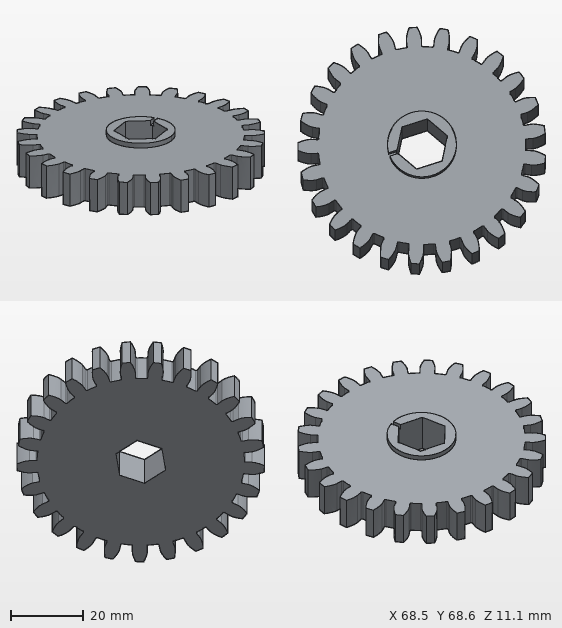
import cadquery as cq
import math

tooth_count = 25
pressure_angle = 14.5
tip_radius = 34.3
root_radius = 28.65
root_fillet = 0.35
gear_thickness = 9.65
flank_segments = 4

hub_diameter = 19.05
hub_height = 1.45
hex_across_flats = 12.8
slot_width = 1.0

pitch_radius = tip_radius * tooth_count / (tooth_count + 2)
base_radius = pitch_radius * math.cos(math.radians(pressure_angle))
tooth_pitch_angle = 360 / tooth_count
total_height = gear_thickness + hub_height
hex_across_corners = hex_across_flats / math.cos(math.pi / 6)


def polar_point(radius, angle):
    """Point at a radius and an angle in degrees."""
    angle_radians = math.radians(angle)
    return (radius * math.cos(angle_radians), radius * math.sin(angle_radians))


def involute_angle(radius):
    """Angle in degrees that the involute has turned from the base circle out to a radius."""
    local_pressure_angle = math.acos(min(1.0, base_radius / radius))
    return math.degrees(math.tan(local_pressure_angle) - local_pressure_angle)


base_half_angle = tooth_pitch_angle / 4 + involute_angle(pitch_radius)
tip_half_angle = base_half_angle - involute_angle(tip_radius)


def involute_points(centre, side):
    """Points from base circle to tip on one flank; side is -1 or +1 in the angular direction."""
    points = []
    for step in range(flank_segments + 1):
        radius = base_radius + (tip_radius - base_radius) * step / flank_segments
        flank_angle = base_half_angle - involute_angle(radius)
        points.append(polar_point(radius, centre + side * flank_angle))
    return points


def is_root_corner(edge):
    """True for an upright edge where a flank meets the root circle."""
    middle = edge.Center()
    return math.isclose(math.hypot(middle.x, middle.y), root_radius, abs_tol=0.01)


def toothed_disc():
    """Spur gear disc with one tooth centred on +X and filleted tooth roots."""
    outline = cq.Workplane("XY").moveTo(*polar_point(root_radius, -base_half_angle))
    for tooth in range(tooth_count):
        centre = tooth * tooth_pitch_angle
        rising_flank = involute_points(centre, -1)
        falling_flank = involute_points(centre, 1)[::-1]
        outline = outline.lineTo(*rising_flank[0])
        outline = outline.spline(rising_flank[1:], includeCurrent=True)
        outline = outline.threePointArc(
            polar_point(tip_radius, centre),
            polar_point(tip_radius, centre + tip_half_angle),
        )
        outline = outline.spline(falling_flank[1:], includeCurrent=True)
        outline = outline.lineTo(*polar_point(root_radius, centre + base_half_angle))
        outline = outline.threePointArc(
            polar_point(root_radius, centre + tooth_pitch_angle / 2),
            polar_point(root_radius, centre + tooth_pitch_angle - base_half_angle),
        )
    disc = outline.close().extrude(gear_thickness)
    return disc.edges("|Z").filter(is_root_corner).fillet(root_fillet)


def hub():
    """Low round hub standing on the top face."""
    return (
        cq.Workplane("XY")
        .workplane(offset=gear_thickness)
        .circle(hub_diameter / 2)
        .extrude(hub_height)
    )


def hex_bore():
    """Through bore with two of its corners on the Y axis."""
    return (
        cq.Workplane("XY")
        .polygon(6, hex_across_corners)
        .extrude(total_height)
        .rotate((0, 0, 0), (0, 0, 1), 30)
    )


def hub_slot():
    """Slot through the hub wall from the +Y bore corner, as deep as the hub."""
    return (
        cq.Workplane("XY")
        .workplane(offset=gear_thickness)
        .center(0, hub_diameter / 4)
        .rect(slot_width, hub_diameter / 2)
        .extrude(hub_height)
    )


result = toothed_disc().union(hub()).cut(hex_bore()).cut(hub_slot())